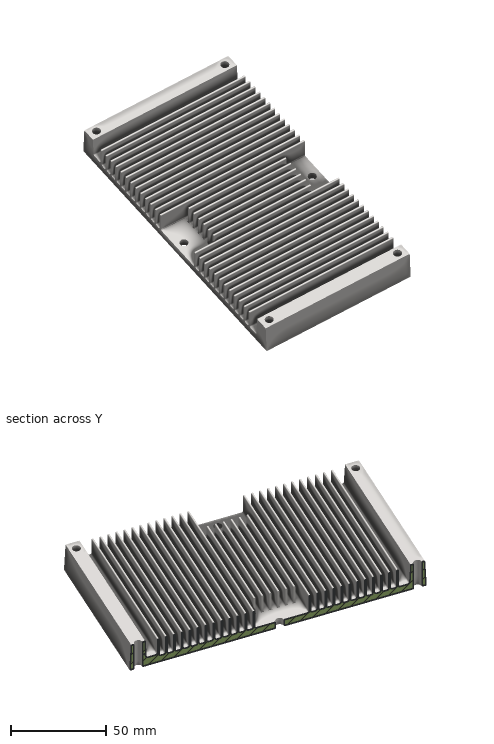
import cadquery as cq
import math

LENGTH = 170.0
WIDTH = 92.0
HEIGHT = 17.3

BASE_THICKNESS = 4.5
RAIL_TOP_WIDTH = 8.0
RAIL_DRAFT_ANGLE = 3.0
LEFT_CHANNEL_FLOOR = 5.6
CHANNEL_FILLET = 0.8

FIN_COUNT = 31
FIN_ROW_SPAN = 137.2
FIN_THICKNESS = 1.14
FIN_TOP = 16.2
FIN_ROOT_FILLET = 0.8

CLEARING_LEFT = -13.0
CLEARING_RIGHT = 17.0
CLEARED_FIN_LENGTH = 62.0

HOLE_DIAMETER = 4.8
HOLE_ROW_Y = 41.0
RAIL_HOLE_X = 80.0
MIDDLE_HOLE_X = 1.0

half_length = LENGTH / 2
rail_slope = math.tan(math.radians(RAIL_DRAFT_ANGLE))
rail_outer_top = half_length - HEIGHT * rail_slope
rail_inner_top = rail_outer_top - RAIL_TOP_WIDTH
rail_inner_foot = rail_inner_top - (HEIGHT - BASE_THICKNESS) * rail_slope
fin_pitch = FIN_ROW_SPAN / (FIN_COUNT - 1)
first_fin_x = -FIN_ROW_SPAN / 2


def profile_plane(x=0):
    """XZ sketch plane on the +Y face, shifted to the given X."""
    return cq.Workplane("XZ", origin=(x, WIDTH / 2, 0))


def extrude_along_width(outline):
    """Close an outline and extrude it from the +Y face to the -Y face."""
    return outline.close().extrude(WIDTH)


def make_body():
    """Base plate with a tapered rail along each short side, the right one filleted at its foot."""
    outline = profile_plane().polyline([
        (-half_length, 0),
        (half_length, 0),
        (rail_outer_top, HEIGHT),
        (rail_inner_top, HEIGHT),
        (rail_inner_foot, BASE_THICKNESS),
        (-rail_inner_foot, BASE_THICKNESS),
        (-rail_inner_top, HEIGHT),
        (-rail_outer_top, HEIGHT),
    ])
    right_rail_foot = cq.selectors.NearestToPointSelector((rail_inner_foot, 0, BASE_THICKNESS))
    return extrude_along_width(outline).edges(right_rail_foot).fillet(CHANNEL_FILLET)


def make_fin(x):
    """One fin with a fully rounded tip and concave fillets at its root."""
    half = FIN_THICKNESS / 2
    root = FIN_ROOT_FILLET
    outline = (
        profile_plane(x)
        .moveTo(-half - root, BASE_THICKNESS)
        .radiusArc((-half, BASE_THICKNESS + root), -root)
        .lineTo(-half, FIN_TOP - half)
        .threePointArc((0, FIN_TOP), (half, FIN_TOP - half))
        .lineTo(half, BASE_THICKNESS + root)
        .radiusArc((half + root, BASE_THICKNESS), -root)
        .lineTo(half + root, 0)
        .lineTo(-half - root, 0)
    )
    return extrude_along_width(outline)


def make_left_channel_floor():
    """Raised floor between the left rail and the first fin, filleted into both."""
    radius = CHANNEL_FILLET
    floor = LEFT_CHANNEL_FLOOR
    fillet_top = floor + radius
    wall_x = -rail_inner_top + (HEIGHT - fillet_top) * rail_slope
    fin_face_x = first_fin_x - FIN_THICKNESS / 2
    outline = (
        profile_plane()
        .moveTo(-rail_inner_top, 0)
        .lineTo(-rail_inner_top, fillet_top)
        .lineTo(wall_x, fillet_top)
        .radiusArc((wall_x + radius, floor), -radius)
        .lineTo(fin_face_x - radius, floor)
        .radiusArc((fin_face_x, fillet_top), -radius)
        .lineTo(first_fin_x, fillet_top)
        .lineTo(first_fin_x, 0)
    )
    return extrude_along_width(outline)


def make_clearing(side):
    """Cutter that removes the middle fins at one end (side = -1 or 1)."""
    depth = (WIDTH - CLEARED_FIN_LENGTH) / 2
    center_x = (CLEARING_LEFT + CLEARING_RIGHT) / 2
    center_y = side * (CLEARED_FIN_LENGTH + depth) / 2
    return cq.Workplane("XY", origin=(center_x, center_y, BASE_THICKNESS)).box(
        CLEARING_RIGHT - CLEARING_LEFT, depth, HEIGHT, centered=(True, True, False)
    )


def make_holes():
    """Cutters for the screw holes in the rails and in the two clearings."""
    centers = [
        (x, end * HOLE_ROW_Y)
        for x in (-RAIL_HOLE_X, MIDDLE_HOLE_X, RAIL_HOLE_X)
        for end in (-1, 1)
    ]
    return (
        cq.Workplane("XY")
        .pushPoints(centers)
        .circle(HOLE_DIAMETER / 2)
        .extrude(HEIGHT)
    )


result = make_body().union(make_left_channel_floor())
for index in range(FIN_COUNT):
    result = result.union(make_fin(first_fin_x + index * fin_pitch))
for end in (-1, 1):
    result = result.cut(make_clearing(end))
result = result.cut(make_holes())